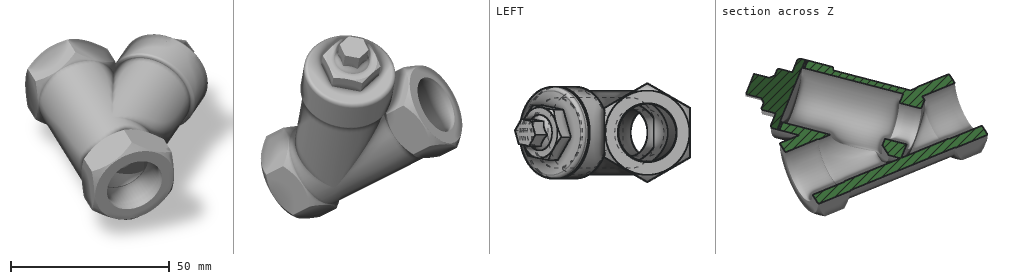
import cadquery as cq
import math


pipe_length = 60.0
outlet_end = 19.25
inlet_end = outlet_end - pipe_length
barrel_radius = 13.3
nut_flats = 27.0
nut_length = 11.5
nut_face_radius = 13.2
nut_blank_margin = 0.6
port_radius = 9.3
bore_radius = 9.1
inlet_stop = -12.3

branch_angle = 135
collar_radius = 14.5
collar_start = 31.05
collar_fillet = 1.0
chamber_radius = 11.1
seat_hole_radius = 7.3
seat_height = 7.3
housing_top = 40.0

gasket_thickness = 0.7

bonnet_start = housing_top + gasket_thickness
bonnet_face = 43.1
bonnet_fillet = 1.2
bonnet_nut_flats = 16.0
bonnet_nut_top = 48.0
bonnet_nut_chamfer = 0.6
hex_turn = -8.6

spindle_flats = 8.0
spindle_tip = 54.4
cone_base_radius = 5.6
cone_height = 3.65

branch_direction = (
    math.cos(math.radians(branch_angle)),
    math.sin(math.radians(branch_angle)),
    0,
)
across_branch = (branch_direction[1], -branch_direction[0], 0)


def pipe_plane(x):
    """Plane across the pipe at the given x, facing +X."""
    return cq.Workplane("YZ", origin=(x, 0, 0))


def branch_plane(height):
    """Plane across the branch at the given height along its axis, facing outward."""
    origin = tuple(height * component for component in branch_direction)
    return cq.Workplane(cq.Plane(origin=origin, xDir=across_branch, normal=branch_direction))


def corner_radius(flats):
    return flats / math.sqrt(3)


def hex_prism(plane, flats, length, corner_angle):
    """Hexagonal prism with one corner at corner_angle from the plane's x direction."""
    turned = plane.transformed(rotate=(0, 0, corner_angle))
    return turned.polygon(6, 2 * corner_radius(flats)).extrude(length)


def make_end_nut(start):
    """Hexagon with corners at +Z and -Z, chamfered at 45 degrees on both ends."""
    hexagon = hex_prism(pipe_plane(start), nut_flats, nut_length, 90)
    blank_radius = corner_radius(nut_flats) + nut_blank_margin
    blank = pipe_plane(start).circle(blank_radius).extrude(nut_length)
    blank = blank.edges().chamfer(blank_radius - nut_face_radius)
    return hexagon.intersect(blank)


def make_branch_barrel():
    return branch_plane(0).circle(barrel_radius).extrude(housing_top)


def make_collar():
    collar = branch_plane(collar_start).circle(collar_radius).extrude(housing_top - collar_start)
    lower_edge = cq.selectors.DirectionMinMaxSelector(cq.Vector(*branch_direction), False)
    return collar.edges(lower_edge).fillet(collar_fillet)


def make_flow_passage():
    """Inlet and outlet bores, kept apart by the branch barrel that crosses the pipe."""
    passage = pipe_plane(inlet_end).circle(bore_radius).extrude(pipe_length)
    passage = passage.cut(make_branch_barrel())
    inlet = pipe_plane(inlet_end).circle(bore_radius).extrude(inlet_stop - inlet_end)
    passage = passage.union(inlet)
    for start in (inlet_end, outlet_end - nut_length):
        passage = passage.union(pipe_plane(start).circle(port_radius).extrude(nut_length))
    return passage


def make_housing():
    housing = pipe_plane(inlet_end).circle(barrel_radius).extrude(pipe_length)
    housing = housing.union(make_branch_barrel())
    housing = housing.union(make_collar())
    for start in (inlet_end, outlet_end - nut_length):
        housing = housing.union(make_end_nut(start))
    chamber = branch_plane(seat_height).circle(chamber_radius).extrude(housing_top - seat_height)
    seat_hole = branch_plane(0).circle(seat_hole_radius).extrude(seat_height)
    return housing.cut(make_flow_passage()).cut(chamber).cut(seat_hole)


def make_gasket():
    """Flat ring clamped between the housing collar and the bonnet."""
    ring = branch_plane(housing_top).circle(collar_radius).circle(chamber_radius)
    return ring.extrude(gasket_thickness)


def make_cover():
    outer_edge = cq.selectors.DirectionMinMaxSelector(cq.Vector(*branch_direction), True)
    cover = branch_plane(bonnet_start).circle(collar_radius).extrude(bonnet_face - bonnet_start)
    return cover.edges(outer_edge).fillet(bonnet_fillet)


def make_bonnet_nut():
    """Hexagon whose outer corners are cut by a cone."""
    nut_height = bonnet_nut_top - bonnet_face
    hexagon = hex_prism(branch_plane(bonnet_face), bonnet_nut_flats, nut_height, hex_turn)
    taper_start = bonnet_nut_top - bonnet_nut_chamfer
    straight = branch_plane(bonnet_face).circle(corner_radius(bonnet_nut_flats))
    straight = straight.extrude(taper_start - bonnet_face)
    taper = branch_plane(taper_start).circle(corner_radius(bonnet_nut_flats))
    taper = taper.workplane(offset=bonnet_nut_chamfer).circle(bonnet_nut_flats / 2).loft()
    return hexagon.intersect(straight.union(taper))


def make_spindle_end():
    """Hexagonal drive rising out of a conical shoulder."""
    drive_length = spindle_tip - bonnet_nut_top
    drive = hex_prism(branch_plane(bonnet_nut_top), spindle_flats, drive_length, hex_turn)
    cone_tip_radius = cone_base_radius - cone_height
    shoulder = branch_plane(bonnet_nut_top).circle(cone_base_radius)
    shoulder = shoulder.workplane(offset=cone_height).circle(cone_tip_radius).loft()
    return drive.union(shoulder)


def make_bonnet():
    return make_cover().union(make_bonnet_nut()).union(make_spindle_end())


housing = make_housing()
gasket = make_gasket()
bonnet = make_bonnet()

result = cq.Compound.makeCompound([body.solids().val() for body in (housing, gasket, bonnet)])